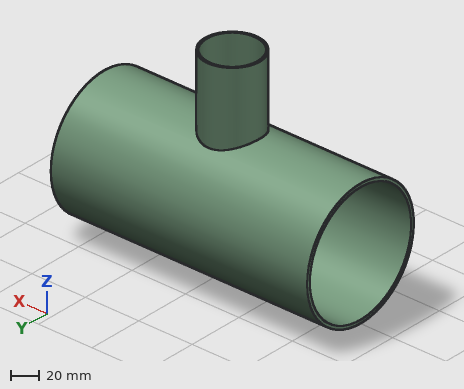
import cadquery as cq

pipe_length = 240.0
pipe_outer_diameter = 114.2
pipe_inner_diameter = 108.2

branch_outer_diameter = 51.0
branch_inner_diameter = 47.8
overall_height = 177.0
branch_top = overall_height - pipe_outer_diameter / 2


def pipe_cylinder(diameter):
    """Solid cylinder along X with the length of the main pipe."""
    return cq.Workplane("YZ").circle(diameter / 2).extrude(pipe_length / 2, both=True)


def branch_cylinder(diameter):
    """Solid cylinder from the main pipe axis up to the branch mouth."""
    return cq.Workplane("XY").circle(diameter / 2).extrude(branch_top)


outer_tee = pipe_cylinder(pipe_outer_diameter).union(branch_cylinder(branch_outer_diameter))
result = outer_tee.cut(pipe_cylinder(pipe_inner_diameter)).cut(branch_cylinder(branch_inner_diameter))